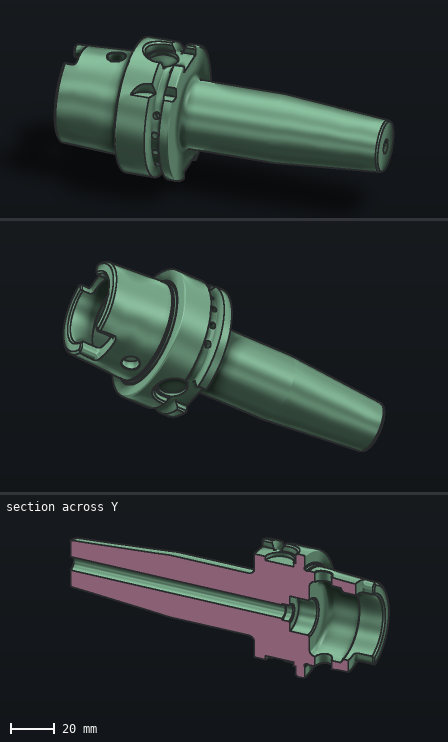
import cadquery as cq
import math


SHANK_LENGTH = 32.0
GAUGE_OFFSET = 6.3
GAUGE_RADIUS = 24.0
TAPER_SLOPE = 0.05
SHANK_END_CHAMFER = (1.0, 1.2)
SHANK_END = -SHANK_LENGTH

RELIEF_START = -2.2
RELIEF_DEPTH = 0.3
RELIEF_SLOPE_LENGTH = 0.75
RELIEF_FACE_DEPTH = 0.3
RELIEF_CORNER_RADIUS = 24.5
RELIEF_LIP_RADIUS = 25.0
RELIEF_RIM_RADIUS = 25.6

FLANGE_RADIUS = 31.5
FLANGE_LENGTH = 26.0
FLANGE_FRONT_FILLET = 1.0
FLANGE_BACK_FILLET = 0.9

GROOVE_RADIUS = 27.4
GROOVE_MOUTH_START = 14.4
GROOVE_MOUTH_END = 21.4
GROOVE_FLOOR_START = 16.5
GROOVE_FLOOR_END = 19.9
GROOVE_FLOOR_CENTER = (GROOVE_FLOOR_START + GROOVE_FLOOR_END) / 2
GROOVE_FLOOR_FILLET = 0.5

BODY_RADIUS = 16.0
BODY_FILLET = 3.0
NOSE_END = 120.0
NOSE_RADIUS = 12.0
NOSE_HALF_ANGLE = 4.5
NOSE_CHAMFER = 1.0
NOSE_CHAMFER_HEIGHT = 0.4

CAVITY_RADIUS = 17.0
CAVITY_MOUTH_CHAMFER = 0.9
CLAMP_SHOULDER_X = -19.3
CLAMP_SHOULDER_ANGLE = 60.0
CLAMP_GROOVE_RADIUS = 19.0
CAVITY_FLOOR_X = -2.3
CAVITY_FLOOR_FILLET = 2.9
WELL_RADIUS = 8.8
WELL_DEPTH = 10.0
WELL_CHAMFER = 0.7
STOP_BORE_RADIUS = 4.0
STOP_BORE_DEPTH = 4.0
STOP_BORE_CHAMFER = 0.6
PASSAGE_RADIUS = 3.3

DRIVE_SLOT_HALF_WIDTH = 6.27
DRIVE_SLOT_FLARE_RADIUS = 3.0
DRIVE_SLOT_FLARE_HEIGHT = 21.0
DRIVE_SLOT_CORNER_RADIUS = 1.6
DRIVE_SLOT_MOUTH_CHAMFER = 0.7
DRIVE_SLOT_MOUTH_ANGLE = 45.0
UPPER_DRIVE_SLOT_DEPTH = 6.0
LOWER_DRIVE_SLOT_DEPTH = 9.8

ACCESS_HOLE_X = -9.3
ACCESS_HOLE_RADIUS = 4.1
ACCESS_HOLE_CHAMFER = 0.3

KEYWAY_FLOOR = 26.5
KEYWAY_HALF_WIDTH = 8.2
KEYWAY_CENTER_X = 13.1
KEYWAY_MOUTH_CHAMFER = 1.1
KEYWAY_OVERSHOOT = 0.05
KEYWAY_POCKET_RADIUS = 7.1
KEYWAY_POCKET_DEPTH = 2.0

NOTCH_FLOOR = 19.9
NOTCH_WALL = 19.8
NOTCH_CENTER_X = 13.0
NOTCH_RADIUS = 8.25

BALANCE_HOLE_RADIUS = 1.6
BALANCE_HOLE_DEPTH = 5.0
BALANCE_HOLE_TIP_LENGTH = 0.9
BALANCE_HOLE_COUNT = 4
BALANCE_HOLE_PITCH = 20.0
BALANCE_HOLE_FIRST_ANGLE = -35.4

CLEARANCE = 40.0

ARC_MID_INSET = 1 - math.sqrt(0.5)


def taper_radius(x):
    """Radius of the shank taper at position x."""
    return GAUGE_RADIUS + TAPER_SLOPE * (x + GAUGE_OFFSET)


def revolve_about_x(profile):
    return profile.close().revolve(360, (0, 0, 0), (1, 0, 0))


def make_body():
    """Outer turned shape: taper shank, flange, body and nose."""
    relief_radius = taper_radius(RELIEF_START) - RELIEF_DEPTH
    shank_chamfer_length, shank_chamfer_height = SHANK_END_CHAMFER
    shank_edge_x = SHANK_END + shank_chamfer_length
    nose_slope = math.tan(math.radians(NOSE_HALF_ANGLE))
    cone_length = (BODY_RADIUS - NOSE_RADIUS) / nose_slope
    body_mid = BODY_FILLET * ARC_MID_INSET
    front_mid = FLANGE_FRONT_FILLET * ARC_MID_INSET
    back_mid = FLANGE_BACK_FILLET * ARC_MID_INSET
    profile = (
        cq.Workplane("XY")
        .moveTo(SHANK_END, 0)
        .lineTo(SHANK_END, taper_radius(shank_edge_x) - shank_chamfer_height)
        .lineTo(shank_edge_x, taper_radius(shank_edge_x))
        .lineTo(RELIEF_START, taper_radius(RELIEF_START))
        .lineTo(RELIEF_START + RELIEF_SLOPE_LENGTH, relief_radius)
        .lineTo(-RELIEF_SLOPE_LENGTH, relief_radius)
        .lineTo(RELIEF_FACE_DEPTH, RELIEF_CORNER_RADIUS)
        .lineTo(RELIEF_FACE_DEPTH, RELIEF_LIP_RADIUS)
        .lineTo(0, RELIEF_RIM_RADIUS)
        .lineTo(0, FLANGE_RADIUS - FLANGE_FRONT_FILLET)
        .threePointArc((front_mid, FLANGE_RADIUS - front_mid), (FLANGE_FRONT_FILLET, FLANGE_RADIUS))
        .lineTo(FLANGE_LENGTH - FLANGE_BACK_FILLET, FLANGE_RADIUS)
        .threePointArc(
            (FLANGE_LENGTH - back_mid, FLANGE_RADIUS - back_mid),
            (FLANGE_LENGTH, FLANGE_RADIUS - FLANGE_BACK_FILLET),
        )
        .lineTo(FLANGE_LENGTH, BODY_RADIUS + BODY_FILLET)
        .threePointArc(
            (FLANGE_LENGTH + body_mid, BODY_RADIUS + body_mid),
            (FLANGE_LENGTH + BODY_FILLET, BODY_RADIUS),
        )
        .lineTo(NOSE_END - cone_length, BODY_RADIUS)
        .lineTo(NOSE_END - NOSE_CHAMFER, NOSE_RADIUS + NOSE_CHAMFER * nose_slope)
        .lineTo(NOSE_END, NOSE_RADIUS - NOSE_CHAMFER_HEIGHT)
        .lineTo(NOSE_END, 0)
    )
    return revolve_about_x(profile)


def make_gripper_groove():
    """Ring of trapezoidal section with a rounded floor, cut into the flange rim."""
    profile = (
        cq.Workplane("XY")
        .moveTo(GROOVE_FLOOR_START, GROOVE_RADIUS)
        .lineTo(GROOVE_FLOOR_END, GROOVE_RADIUS)
        .lineTo(GROOVE_MOUTH_END, FLANGE_RADIUS)
        .lineTo(GROOVE_MOUTH_END, CLEARANCE)
        .lineTo(GROOVE_MOUTH_START, CLEARANCE)
        .lineTo(GROOVE_MOUTH_START, FLANGE_RADIUS)
    )
    floor_edges = cq.selectors.RadiusNthSelector(0)
    return revolve_about_x(profile).edges(floor_edges).fillet(GROOVE_FLOOR_FILLET)


def make_cavity():
    """Turned void: clamping cavity, coolant-tube well, stop bore and through passage."""
    shoulder_length = (CLAMP_GROOVE_RADIUS - CAVITY_RADIUS) / math.tan(math.radians(CLAMP_SHOULDER_ANGLE))
    floor_mid = CAVITY_FLOOR_FILLET * ARC_MID_INSET
    well_x = CAVITY_FLOOR_X + WELL_DEPTH
    stop_x = well_x + STOP_BORE_DEPTH
    profile = (
        cq.Workplane("XY")
        .moveTo(SHANK_END, 0)
        .lineTo(SHANK_END, CAVITY_RADIUS + CAVITY_MOUTH_CHAMFER)
        .lineTo(SHANK_END + CAVITY_MOUTH_CHAMFER, CAVITY_RADIUS)
        .lineTo(CLAMP_SHOULDER_X, CAVITY_RADIUS)
        .lineTo(CLAMP_SHOULDER_X + shoulder_length, CLAMP_GROOVE_RADIUS)
        .lineTo(CAVITY_FLOOR_X - CAVITY_FLOOR_FILLET, CLAMP_GROOVE_RADIUS)
        .threePointArc(
            (CAVITY_FLOOR_X - floor_mid, CLAMP_GROOVE_RADIUS - floor_mid),
            (CAVITY_FLOOR_X, CLAMP_GROOVE_RADIUS - CAVITY_FLOOR_FILLET),
        )
        .lineTo(CAVITY_FLOOR_X, WELL_RADIUS + WELL_CHAMFER)
        .lineTo(CAVITY_FLOOR_X + WELL_CHAMFER, WELL_RADIUS)
        .lineTo(well_x, WELL_RADIUS)
        .lineTo(well_x, STOP_BORE_RADIUS + STOP_BORE_CHAMFER)
        .lineTo(well_x + STOP_BORE_CHAMFER, STOP_BORE_RADIUS)
        .lineTo(stop_x, STOP_BORE_RADIUS)
        .lineTo(stop_x, PASSAGE_RADIUS)
        .lineTo(NOSE_END, PASSAGE_RADIUS)
        .lineTo(NOSE_END, 0)
    )
    return revolve_about_x(profile)


def drive_slot_profile(growth):
    """Slot section facing +Z whose walls round outward at the top, enlarged by growth."""
    half_width = DRIVE_SLOT_HALF_WIDTH + growth
    radius = DRIVE_SLOT_FLARE_RADIUS - growth
    center_y = DRIVE_SLOT_HALF_WIDTH + DRIVE_SLOT_FLARE_RADIUS
    center_z = DRIVE_SLOT_FLARE_HEIGHT - DRIVE_SLOT_FLARE_RADIUS
    mid_y = center_y - radius * math.sqrt(0.5)
    mid_z = center_z + radius * math.sqrt(0.5)
    return (
        cq.Workplane("YZ", origin=(SHANK_END, 0, 0))
        .moveTo(-half_width, 0)
        .lineTo(-half_width, center_z)
        .threePointArc((-mid_y, mid_z), (-center_y, center_z + radius))
        .lineTo(-center_y, CLEARANCE)
        .lineTo(center_y, CLEARANCE)
        .lineTo(center_y, center_z + radius)
        .threePointArc((mid_y, mid_z), (half_width, center_z))
        .lineTo(half_width, 0)
        .close()
    )


def make_drive_slot(depth):
    """Drive slot opening toward +Z, with rounded inner corners and a chamfered mouth."""
    slot = drive_slot_profile(0).extrude(depth)
    center_y = DRIVE_SLOT_HALF_WIDTH + DRIVE_SLOT_FLARE_RADIUS
    margin = 0.1
    corner_box = cq.selectors.BoxSelector(
        (SHANK_END + depth - margin, -center_y, margin),
        (SHANK_END + depth + margin, center_y, DRIVE_SLOT_FLARE_HEIGHT),
    )
    slot = slot.edges(corner_box).fillet(DRIVE_SLOT_CORNER_RADIUS)
    mouth = drive_slot_profile(DRIVE_SLOT_MOUTH_CHAMFER)
    mouth = mouth.extrude(DRIVE_SLOT_MOUTH_CHAMFER, taper=DRIVE_SLOT_MOUTH_ANGLE)
    return slot.union(mouth)


def drill_access_hole(shank):
    """Drill across the whole shank and chamfer both outer rims of the hole."""
    drill = cq.Workplane("XY").center(ACCESS_HOLE_X, 0).circle(ACCESS_HOLE_RADIUS)
    drilled = shank.cut(drill.extrude(CLEARANCE, both=True))
    rim_reach = ACCESS_HOLE_RADIUS + ACCESS_HOLE_CHAMFER
    rim_bottom = CLAMP_GROOVE_RADIUS + ACCESS_HOLE_RADIUS / 2
    upper_rim = cq.selectors.BoxSelector(
        (ACCESS_HOLE_X - rim_reach, -rim_reach, rim_bottom),
        (ACCESS_HOLE_X + rim_reach, rim_reach, CLEARANCE),
    )
    lower_rim = cq.selectors.BoxSelector(
        (ACCESS_HOLE_X - rim_reach, -rim_reach, -CLEARANCE),
        (ACCESS_HOLE_X + rim_reach, rim_reach, -rim_bottom),
    )
    return drilled.edges(upper_rim + lower_rim).chamfer(ACCESS_HOLE_CHAMFER)


def make_keyway():
    """Round-ended keyway opening toward +Z, with a chamfered mouth and a pocket in its floor."""
    length = CLEARANCE - KEYWAY_CENTER_X
    height = CLEARANCE - KEYWAY_FLOOR
    margin = 0.5
    floor = cq.Workplane("XY", origin=(KEYWAY_CENTER_X, 0, KEYWAY_FLOOR))
    straight = floor.center(length / 2, 0).rect(length, 2 * KEYWAY_HALF_WIDTH).extrude(height)
    keyway = straight.union(floor.circle(KEYWAY_HALF_WIDTH).extrude(height))

    bar = cq.Workplane("YZ").circle(FLANGE_RADIUS + KEYWAY_OVERSHOOT).extrude(CLEARANCE)
    mouth_edges = cq.selectors.BoxSelector(
        (0, -KEYWAY_HALF_WIDTH - margin, (KEYWAY_FLOOR + FLANGE_RADIUS) / 2),
        (CLEARANCE - margin, KEYWAY_HALF_WIDTH + margin, CLEARANCE),
    )
    slotted_bar = bar.cut(keyway).edges(mouth_edges).chamfer(KEYWAY_MOUTH_CHAMFER)
    pocket = floor.circle(KEYWAY_POCKET_RADIUS).extrude(-KEYWAY_POCKET_DEPTH)
    return bar.cut(slotted_bar).union(pocket)


def make_notch():
    """Notch with a horizontal floor and a rounded end, at the -Y +Z side of the flange."""
    center_y = -NOTCH_WALL - NOTCH_RADIUS
    height = CLEARANCE - NOTCH_FLOOR
    floor = cq.Workplane("XY", origin=(NOTCH_CENTER_X, center_y, NOTCH_FLOOR))
    length = CLEARANCE - NOTCH_CENTER_X
    straight = floor.center(length / 2, 0).rect(length, 2 * NOTCH_RADIUS).extrude(height)
    return straight.union(floor.circle(NOTCH_RADIUS).extrude(height))


def make_balance_hole(angle):
    """Radial hole in the groove floor, on the -Y side, raised by angle toward +Z."""
    hole = (
        cq.Workplane("XZ", origin=(GROOVE_FLOOR_CENTER, -GROOVE_RADIUS + BALANCE_HOLE_DEPTH, 0))
        .circle(BALANCE_HOLE_RADIUS)
        .extrude(BALANCE_HOLE_DEPTH + BALANCE_HOLE_RADIUS)
    )
    tip = cq.Solid.makeCone(
        BALANCE_HOLE_RADIUS,
        0,
        BALANCE_HOLE_TIP_LENGTH,
        cq.Vector(GROOVE_FLOOR_CENTER, -GROOVE_RADIUS + BALANCE_HOLE_DEPTH, 0),
        cq.Vector(0, 1, 0),
    )
    return hole.union(cq.Workplane(tip)).rotate((0, 0, 0), (1, 0, 0), -angle)


def turned_over(shape):
    return shape.rotate((0, 0, 0), (1, 0, 0), 180)


upper_keyway = make_keyway()
upper_drive_slot = make_drive_slot(UPPER_DRIVE_SLOT_DEPTH)
lower_drive_slot = turned_over(make_drive_slot(LOWER_DRIVE_SLOT_DEPTH))

result = make_body().cut(upper_keyway).cut(turned_over(upper_keyway))
result = result.cut(make_gripper_groove()).cut(make_notch())
for index in range(BALANCE_HOLE_COUNT):
    hole_angle = BALANCE_HOLE_FIRST_ANGLE + index * BALANCE_HOLE_PITCH
    result = result.cut(make_balance_hole(hole_angle))
result = drill_access_hole(result.cut(make_cavity()))
result = result.cut(upper_drive_slot).cut(lower_drive_slot)